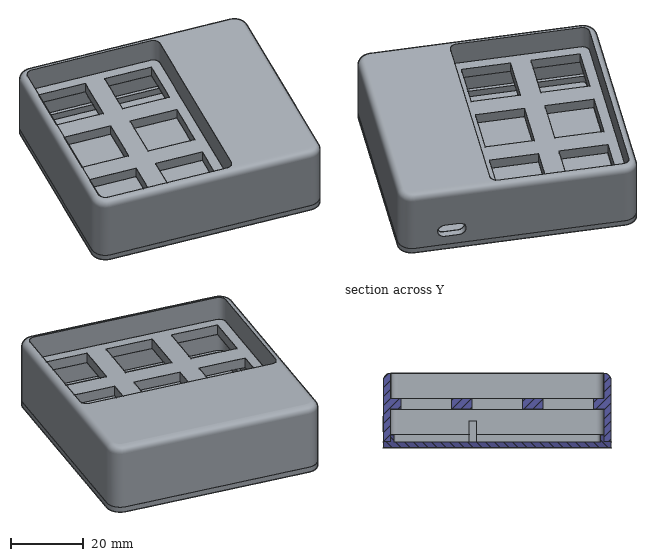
import cadquery as cq

LENGTH_X = 62.8
LENGTH_Y = 67.05
HEIGHT = 20.6
CORNER_RADIUS = 4.0
TOP_FILLET = 2.0
WALL = 2.0
INNER_RADIUS = CORNER_RADIUS - WALL
ROOF = 2.0
CAVITY_X = LENGTH_X - 2 * WALL
CAVITY_Y = LENGTH_Y - 2 * WALL

KEY_COLUMNS = 3
KEY_ROWS = 2
KEY_PITCH = 19.5
KEY_WINDOW = 13.8
POCKET_DEPTH = 7.0
PLATE_THICKNESS = 3.0
POCKET_X = KEY_COLUMNS * KEY_PITCH
POCKET_Y = KEY_ROWS * KEY_PITCH
POCKET_MARGIN = (LENGTH_X - POCKET_X) / 2
POCKET_CENTER_Y = -LENGTH_Y / 2 + POCKET_MARGIN + POCKET_Y / 2
PLATE_BOTTOM = HEIGHT - POCKET_DEPTH - PLATE_THICKNESS

BASE_THICKNESS = 1.6
LIP_HEIGHT = 2.0
LIP_THICKNESS = 1.0
STOP_WIDTH = 7.0
STOP_TOP = 7.45
STOP_THICKNESS = 2.0
STOP_X = -6.7

SLOT_LENGTH = 8.0
SLOT_HEIGHT = 4.0
SLOT_Y = 19.05
SLOT_Z = 6.6


def rounded_block(size_x, size_y, radius, bottom, top, center_y=0.0):
    """Upright block with rounded vertical edges, centred on X."""
    block = cq.Workplane("XY").box(size_x, size_y, top - bottom, centered=(True, True, False))
    return block.edges("|Z").fillet(radius).translate((0, center_y, bottom))


def key_windows():
    """Square openings that go through the key plate."""
    return (
        cq.Workplane("XY", origin=(0, POCKET_CENTER_Y, PLATE_BOTTOM))
        .rarray(KEY_PITCH, KEY_PITCH, KEY_COLUMNS, KEY_ROWS)
        .rect(KEY_WINDOW, KEY_WINDOW)
        .extrude(PLATE_THICKNESS)
    )


def connector_slot():
    """Round-ended opening through the -X wall."""
    return (
        cq.Workplane("YZ", origin=(-LENGTH_X / 2, SLOT_Y, SLOT_Z))
        .slot2D(SLOT_LENGTH, SLOT_HEIGHT)
        .extrude(WALL)
    )


def build_housing():
    """Hollow case, open below, with a sunken key plate at the -Y end."""
    outside = rounded_block(LENGTH_X, LENGTH_Y, CORNER_RADIUS, BASE_THICKNESS, HEIGHT)
    outside = outside.faces(">Z").edges().fillet(TOP_FILLET)

    cavity = rounded_block(CAVITY_X, CAVITY_Y, INNER_RADIUS, BASE_THICKNESS, HEIGHT - ROOF)
    sunken_length = POCKET_Y + 2 * WALL
    sunken_part = (
        cq.Workplane("XY", origin=(0, POCKET_CENTER_Y, PLATE_BOTTOM))
        .rect(LENGTH_X, sunken_length)
        .extrude(HEIGHT - PLATE_BOTTOM)
    )
    cavity = cavity.cut(sunken_part)

    pocket = rounded_block(
        POCKET_X, POCKET_Y, INNER_RADIUS, HEIGHT - POCKET_DEPTH, HEIGHT, POCKET_CENTER_Y
    )
    return outside.cut(cavity).cut(pocket).cut(key_windows()).cut(connector_slot())


def build_base():
    """Flat bottom plate with a lip inside the housing walls and a board stop."""
    plate = rounded_block(LENGTH_X, LENGTH_Y, CORNER_RADIUS, 0, BASE_THICKNESS)
    lip_top = BASE_THICKNESS + LIP_HEIGHT
    lip = rounded_block(CAVITY_X, CAVITY_Y, INNER_RADIUS, BASE_THICKNESS, lip_top)
    lip_opening = rounded_block(
        CAVITY_X - 2 * LIP_THICKNESS,
        CAVITY_Y - 2 * LIP_THICKNESS,
        INNER_RADIUS - LIP_THICKNESS,
        BASE_THICKNESS,
        lip_top,
    )
    stop = cq.Workplane("XY", origin=(STOP_X, SLOT_Y, BASE_THICKNESS)).box(
        STOP_THICKNESS, STOP_WIDTH, STOP_TOP - BASE_THICKNESS, centered=(True, True, False)
    )
    return plate.union(lip.cut(lip_opening)).union(stop)


housing = build_housing()
base = build_base()

result = cq.Compound.makeCompound([housing.val(), base.val()])